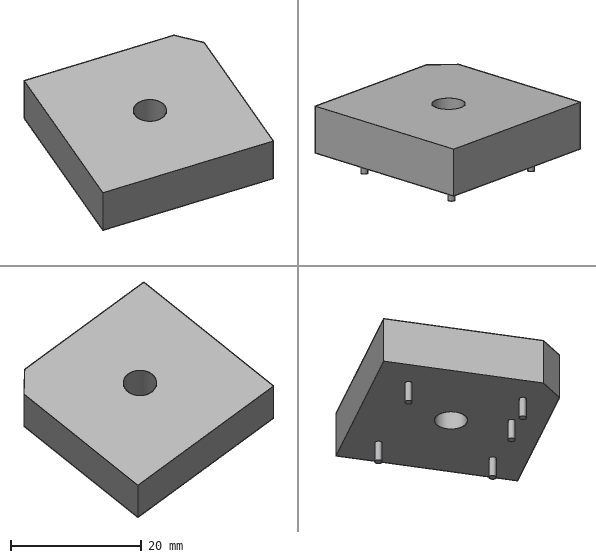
import cadquery as cq

housing_side = 28.8
housing_height = 7.65
corner_chamfer = 3.5
hole_diameter = 5.08
hole_offset_y = 0.2

overall_height = 11.02
pin_length = overall_height - housing_height
pin_diameter = 1.1
pin_spacing = 18.1
middle_pin_pitch = 6.7

pin_x = pin_spacing / 2
pin_y = pin_spacing / 2
pin_positions = [
    (-pin_x, pin_y),
    (-pin_x, pin_y - middle_pin_pitch),
    (-pin_x, -pin_y),
    (pin_x, pin_y),
    (pin_x, -pin_y),
]


def make_housing():
    """Block standing on Z = 0, chamfered at its -X, +Y corner."""
    block = cq.Workplane("XY").box(housing_side, housing_side, housing_height, centered=(True, True, False))
    block = block.edges("|Z and <X and >Y").chamfer(corner_chamfer)
    hole = cq.Workplane("XY").center(0, hole_offset_y).circle(hole_diameter / 2).extrude(housing_height)
    return block.cut(hole)


def make_pin(x, y):
    """Round lead reaching down from the underside of the housing."""
    return cq.Workplane("XY").center(x, y).circle(pin_diameter / 2).extrude(-pin_length)


housing = make_housing()
pins = [make_pin(x, y) for x, y in pin_positions]

result = cq.Compound.makeCompound([housing.val(), *[pin.val() for pin in pins]])